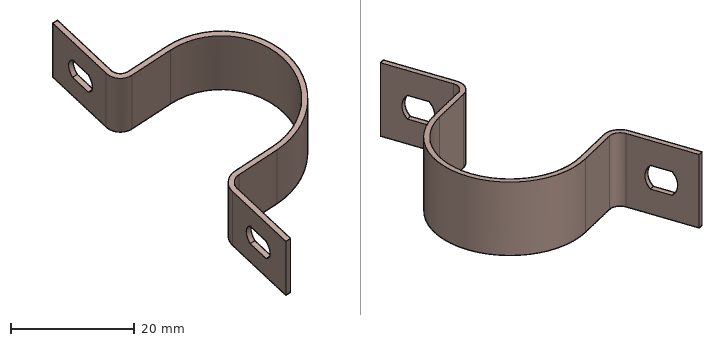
import cadquery as cq

overall_length = 59.0
overall_depth = 25.0
strip_width = 14.0
thickness = 1.0
saddle_outer_radius = 14.0
bend_inner_radius = 2.0
hole_diameter = 6.0
hole_flat_height = 4.5
hole_spacing = 44.95

half_length = overall_length / 2
saddle_inner_radius = saddle_outer_radius - thickness
bend_outer_radius = bend_inner_radius + thickness
flange_front = saddle_outer_radius - overall_depth
flange_back = flange_front + thickness
bend_axis_x = saddle_inner_radius + bend_outer_radius
bend_axis_y = flange_front + bend_outer_radius


def make_strap():
    """Bent strip: two flanges, two straight legs and a half-round saddle."""
    return (
        cq.Workplane("XY")
        .moveTo(-half_length, flange_front)
        .lineTo(-bend_axis_x, flange_front)
        .radiusArc((-saddle_inner_radius, bend_axis_y), -bend_outer_radius)
        .lineTo(-saddle_inner_radius, 0)
        .threePointArc((0, saddle_inner_radius), (saddle_inner_radius, 0))
        .lineTo(saddle_inner_radius, bend_axis_y)
        .radiusArc((bend_axis_x, flange_front), -bend_outer_radius)
        .lineTo(half_length, flange_front)
        .lineTo(half_length, flange_back)
        .lineTo(bend_axis_x, flange_back)
        .radiusArc((saddle_outer_radius, bend_axis_y), bend_inner_radius)
        .lineTo(saddle_outer_radius, 0)
        .threePointArc((0, saddle_outer_radius), (-saddle_outer_radius, 0))
        .lineTo(-saddle_outer_radius, bend_axis_y)
        .radiusArc((-bend_axis_x, flange_back), bend_inner_radius)
        .lineTo(-half_length, flange_back)
        .close()
        .extrude(strip_width / 2, both=True)
    )


def make_hole_cutter(center_x):
    """Round hole with flats above and below, running through a flange along Y."""
    flange_face = cq.Workplane("XZ", origin=(center_x, flange_back, 0))
    round_hole = flange_face.circle(hole_diameter / 2).extrude(thickness)
    flats = flange_face.rect(hole_diameter, hole_flat_height).extrude(thickness)
    return round_hole.intersect(flats)


result = make_strap()
for side in (-1, 1):
    result = result.cut(make_hole_cutter(side * hole_spacing / 2))